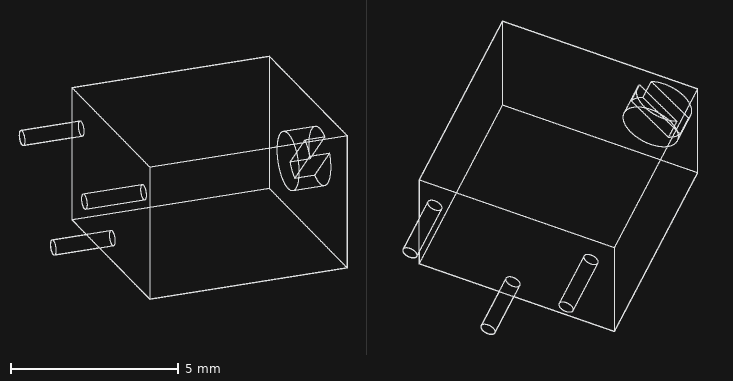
import cadquery as cq

body_side = 6.35
body_height = 4.32

pin_diameter = 0.46
pin_length = 1.9
pin_pitch = 2.54
first_pin_x = 0.76
lower_pin_z = 0.75

total_length = 9.27
screw_diameter = 1.8
screw_length = total_length - body_side - pin_length
screw_x = 1.53
screw_z = 1.52
slot_width = 0.54
slot_depth = 0.64
slot_angle = 45.0


def cylinder_along_y(diameter, x, z, y_start, length):
    """Cylinder growing towards +Y from y_start."""
    return cq.Workplane(
        cq.Solid.makeCylinder(diameter / 2, length, cq.Vector(x, y_start, z), cq.Vector(0, 1, 0))
    )


def make_screw():
    """Round screw head with a diagonal driver slot across its end."""
    head = cylinder_along_y(screw_diameter, screw_x, screw_z, body_side, screw_length)
    slot_length = 2 * screw_diameter
    slot_centre_y = body_side + screw_length - slot_depth / 2
    slot = (
        cq.Workplane("XY")
        .box(slot_length, slot_depth, slot_width)
        .rotate((0, 0, 0), (0, 1, 0), -slot_angle)
        .translate((screw_x, slot_centre_y, screw_z))
    )
    return head.cut(slot)


body = cq.Workplane("XY").box(body_side, body_side, body_height, centered=False)
result = body.union(make_screw())

for index, row in enumerate((1, 0, 1)):
    pin_x = first_pin_x + index * pin_pitch
    pin_z = lower_pin_z + row * pin_pitch
    result = result.union(cylinder_along_y(pin_diameter, pin_x, pin_z, -pin_length, pin_length))